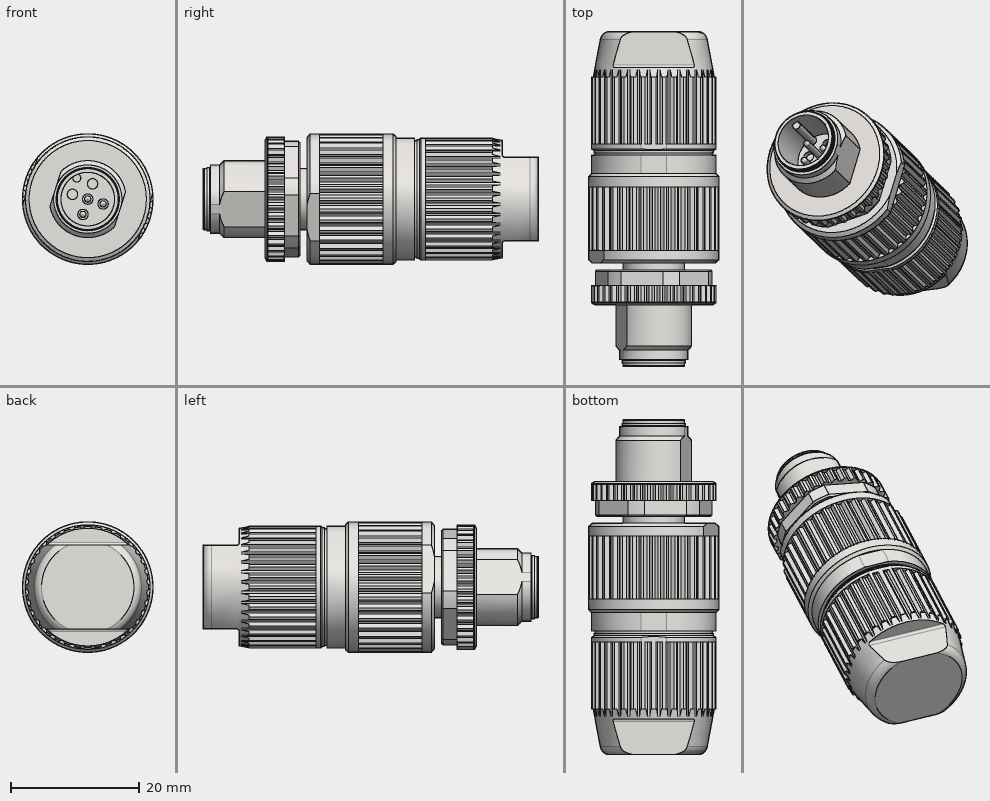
import cadquery as cq
import math


LENGTH = 52.25
LIP_CHAMFER_END = 0.15
LIP_RIDGE_FRONT = 0.6
LIP_RIDGE_REAR = 0.95
LIP_END = 1.1
TIP_END = 2.55
BARREL_CONE_END = 3.25
NUT_FRONT = 9.6
NUT_CHAMFER_END = 9.9
NUT_KNURL_START = 10.1
NUT_KNURL_END = 12.65
NUT_REAR = 15.1
SLEEVE_FRONT = 16.15
SLEEVE_CHAMFER_END = 16.65
SLEEVE_KNURL_START = 18.15
SLEEVE_KNURL_END = 28.0
SLEEVE_SHOULDER = 29.6
BAND_START = 30.1
GROOVE_START = 32.95
GROOVE_STEP = 33.35
GROOVE_END = 33.7
CAP_CHAMFER_END = 33.95
CAP_KNURL_START = 34.7
CAP_CONE_START = 45.15
CAP_STEP = 46.65
CAP_ROUND_START = 51.0

LIP_EDGE_RADIUS = 4.75
LIP_RADIUS = 4.8
LIP_RIDGE_RADIUS = 9.85 / 2
TIP_RADIUS = 5.35
BARREL_RADIUS = 6.0
NUT_RADIUS = 9.7
NUT_HEX_RADIUS = 9.15
NECK_RADIUS = 4.8
SLEEVE_RADIUS = 10.2
SLEEVE_EDGE_RADIUS = 9.55
CAP_RADIUS = 9.7
GROOVE_RADIUS = 9.3
GROOVE_DEEP_RADIUS = 9.15
CONE_RADIUS = 9.45
CONE_END_RADIUS = 8.35
END_FACE_RADIUS = 7.2
OUTSIDE = 15.65

TURN = -17.5
BARREL_FLAT = 5.3
SLEEVE_FLAT = 9.4
NUT_HEX_FLAT = 8.5
NUT_HEX_CHAMFER = 0.25
BAND_FLAT = 9.5
CABLE_FLAT = 6.55
CABLE_FLAT_FILLET = 0.4

TEETH = 36
TOOTH_TOP = 0.4
GAP_BOTTOM = 0.35
CAP_KNURL_ROOT = 9.25
SLEEVE_KNURL_ROOT = 9.6
NUT_KNURL_ROOT = 9.2
NUT_KNURL_TURN = 3.0

SOCKET_RADIUS = 4.2
SOCKET_FLOOR = 8.9
PIN_RADIUS = 0.495
PIN_HOLE_RADIUS = 0.81
PIN_HOLE_DEPTH = 1.05
PIN_CIRCLE_RADIUS = 2.5
PIN_TIP = 2.0
CENTRE_PIN_TIP = 1.1
PIN_TIP_FILLET = 0.45
KEY_RADIUS = 0.65
KEY_CENTRE_RADIUS = 3.7
KEY_FRONT = 1.55
KEY_ANGLE = TURN + 135


def plane_at(y):
    """Sketch plane across the axis; local x and y are X and Z."""
    return cq.Workplane("XZ", origin=(0, y, 0))


def polar(radius, degrees):
    angle = math.radians(degrees)
    return (radius * math.cos(angle), radius * math.sin(angle))


def revolve_about_axis(profile):
    return profile.close().revolve(360, (0, 0, 0), (0, 1, 0))


def slab_between_flats(half_width, start, end, turn):
    """Plate between two parallel flats that face +-X before turning about the axis."""
    plate = plane_at(start).rect(2 * half_width, 2 * OUTSIDE).extrude(start - end)
    return plate.rotate((0, 0, 0), (0, 1, 0), -turn)


def ring_outside(core, start, end):
    """What is left of a large disc after the given core is removed from it."""
    return plane_at(start).circle(OUTSIDE).extrude(start - end).cut(core)


def cut_flats(body, half_width, start, end, turn):
    return body.cut(ring_outside(slab_between_flats(half_width, start, end, turn), start, end))


def cut_knurl(body, root, tip, start, end, turn=0.0):
    """Straight knurl of trapezoidal teeth, with one tooth at the turn angle."""
    half_top = math.degrees(TOOTH_TOP / 2 / tip)
    half_bottom = math.degrees(GAP_BOTTOM / 2 / root)
    pitch = 360 / TEETH
    outline = []
    for tooth in range(TEETH):
        middle = turn + tooth * pitch
        gap = middle + pitch / 2
        outline.append(polar(tip, middle - half_top))
        outline.append(polar(tip, middle + half_top))
        outline.append(polar(root, gap - half_bottom))
        outline.append(polar(root, gap + half_bottom))
    core = plane_at(start).polyline(outline).close().extrude(start - end)
    return body.cut(ring_outside(core, start, end))


def turned_body():
    profile = (
        cq.Workplane("XY")
        .moveTo(0, 0)
        .lineTo(LIP_EDGE_RADIUS, 0)
        .lineTo(LIP_RADIUS, LIP_CHAMFER_END)
        .lineTo(LIP_RADIUS, LIP_RIDGE_FRONT)
        .lineTo(LIP_RIDGE_RADIUS, LIP_RIDGE_FRONT)
        .lineTo(LIP_RIDGE_RADIUS, LIP_RIDGE_REAR)
        .lineTo(LIP_RADIUS, LIP_RIDGE_REAR)
        .lineTo(LIP_RADIUS, LIP_END)
        .lineTo(TIP_RADIUS, LIP_END)
        .lineTo(TIP_RADIUS, TIP_END)
        .lineTo(BARREL_RADIUS, BARREL_CONE_END)
        .lineTo(BARREL_RADIUS, NUT_FRONT)
        .lineTo(NUT_HEX_RADIUS, NUT_FRONT)
        .lineTo(NUT_RADIUS, NUT_CHAMFER_END)
        .lineTo(NUT_RADIUS, NUT_KNURL_END)
        .lineTo(NECK_RADIUS, NUT_KNURL_END)
        .lineTo(NECK_RADIUS, SLEEVE_FRONT)
        .lineTo(SLEEVE_EDGE_RADIUS, SLEEVE_FRONT)
        .lineTo(SLEEVE_RADIUS, SLEEVE_CHAMFER_END)
        .lineTo(SLEEVE_RADIUS, SLEEVE_SHOULDER)
        .lineTo(CAP_RADIUS, BAND_START)
        .lineTo(CAP_RADIUS, GROOVE_START)
        .lineTo(GROOVE_DEEP_RADIUS, GROOVE_START)
        .lineTo(GROOVE_DEEP_RADIUS, GROOVE_STEP)
        .lineTo(GROOVE_RADIUS, GROOVE_STEP)
        .lineTo(GROOVE_RADIUS, GROOVE_END)
        .lineTo(CAP_RADIUS, CAP_CHAMFER_END)
        .lineTo(CAP_RADIUS, CAP_CONE_START)
        .lineTo(CONE_RADIUS, CAP_CONE_START)
        .lineTo(CONE_END_RADIUS, CAP_ROUND_START)
        .tangentArcPoint((END_FACE_RADIUS, LENGTH), relative=False)
        .lineTo(0, LENGTH)
    )
    return revolve_about_axis(profile)


def add_nut_hex(body):
    """Six flats with round corners on the rear of the nut."""
    height = NUT_REAR - NUT_KNURL_END
    round_bar = plane_at(NUT_KNURL_END).circle(NUT_HEX_RADIUS).extrude(-height)
    hexagon = (
        plane_at(NUT_KNURL_END)
        .polygon(6, 2 * NUT_HEX_FLAT, circumscribed=True)
        .extrude(-height)
        .rotate((0, 0, 0), (0, 1, 0), -TURN)
        .intersect(round_bar)
        .faces(">Y")
        .chamfer(NUT_HEX_CHAMFER)
    )
    return body.union(hexagon)


def cut_cable_flats(body):
    """Two large flats on the cable end, each with a fillet at the step."""
    height = OUTSIDE - CABLE_FLAT
    block = (
        cq.Workplane("XY")
        .box(2 * OUTSIDE, OUTSIDE, height, centered=(True, False, False))
        .edges("<Y and <Z")
        .fillet(CABLE_FLAT_FILLET)
        .translate((0, CAP_STEP, CABLE_FLAT))
    )
    return body.cut(block).cut(block.mirror("XY"))


def cut_socket(body):
    return body.cut(plane_at(0).circle(SOCKET_RADIUS).extrude(-SOCKET_FLOOR))


def pin(point, tip):
    """Round-ended pin that rises from the bottom of its hole."""
    hole_bottom = SOCKET_FLOOR + PIN_HOLE_DEPTH
    rod = plane_at(hole_bottom).pushPoints([point]).circle(PIN_RADIUS).extrude(hole_bottom - tip)
    return rod.faces("<Y").edges().fillet(PIN_TIP_FILLET)


def add_insert(body):
    """Five holes in the socket floor, pins in three of them, and the coding key."""
    centre = (0, 0)
    right, up, left, down = [polar(PIN_CIRCLE_RADIUS, TURN + quarter * 90) for quarter in range(4)]
    holes = (
        plane_at(SOCKET_FLOOR)
        .pushPoints([centre, right, up, left, down])
        .circle(PIN_HOLE_RADIUS)
        .extrude(-PIN_HOLE_DEPTH)
    )
    key = (
        plane_at(SOCKET_FLOOR)
        .pushPoints([polar(KEY_CENTRE_RADIUS, KEY_ANGLE)])
        .circle(KEY_RADIUS)
        .extrude(SOCKET_FLOOR - KEY_FRONT)
    )
    body = body.cut(holes).union(key)
    for point, tip in ((centre, CENTRE_PIN_TIP), (right, PIN_TIP), (down, PIN_TIP)):
        body = body.union(pin(point, tip))
    return body


body = turned_body()
body = cut_flats(body, BARREL_FLAT, LIP_END, NUT_FRONT, TURN)
body = add_nut_hex(body)
body = cut_knurl(
    body, NUT_KNURL_ROOT, NUT_RADIUS, NUT_KNURL_START, NUT_KNURL_END, NUT_KNURL_TURN
)
body = cut_flats(body, SLEEVE_FLAT, SLEEVE_FRONT, SLEEVE_KNURL_START, TURN)
body = cut_knurl(body, SLEEVE_KNURL_ROOT, SLEEVE_RADIUS, SLEEVE_KNURL_START, SLEEVE_KNURL_END)
body = cut_knurl(body, CAP_KNURL_ROOT, CAP_RADIUS, CAP_KNURL_START, CAP_STEP)
body = cut_flats(body, BAND_FLAT, BAND_START, CAP_CONE_START, 90)
body = cut_cable_flats(body)
body = cut_socket(body)
result = add_insert(body)